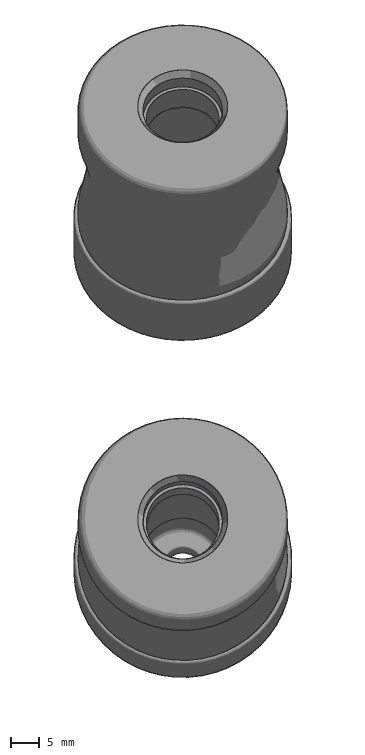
import cadquery as cq

total_height = 44.45
base_height = 12.0

base_radius = 19.045
base_bottom_fillet = 1.5
base_top_fillet = 0.5
floor_thickness = 4.0
floor_hole_radius = 3.5
floor_hole_fillet = 0.4
chamber_radius = 7.15
chamber_floor_fillet = 1.0

grip_radius = 18.3
grip_top_fillet = 1.5
collar_bottom_z = 36.7
upper_cone_top_radius = 18.22
upper_cone_top_z = 36.25
waist_top_radius = 17.65
waist_top_z = 33.85
waist_radius = 16.75
waist_z = 26.63
waist_bottom_radius = 17.15
waist_bottom_z = 21.1
lower_cone_bottom_radius = 18.22
lower_cone_bottom_z = 14.45
foot_top_z = 13.65

mouth_radius = 7.85
mouth_chamfer_depth = 1.15
counterbore_radius = 6.95
counterbore_depth = 3.75
bore_radius = 6.35
bore_end_depth = 9.0
undercut_cone_height = 1.25


def make_base():
    """Round cup with rounded outer edges, a recess and a through hole."""
    cup = cq.Workplane("XY").circle(base_radius).extrude(base_height)
    cup = cup.faces("<Z").edges().fillet(base_bottom_fillet)
    cup = cup.faces(">Z").edges().fillet(base_top_fillet)

    recess = (
        cq.Workplane("XY", origin=(0, 0, floor_thickness))
        .circle(chamber_radius)
        .extrude(base_height - floor_thickness)
        .faces("<Z").edges().fillet(chamber_floor_fillet)
    )
    hole = cq.Workplane("XY").circle(floor_hole_radius).extrude(base_height)
    cup = cup.cut(recess).cut(hole)

    floor_face = cq.selectors.NearestToPointSelector((0, 0, floor_thickness))
    hole_rim = cq.selectors.RadiusNthSelector(0)
    return cup.faces(floor_face).edges(hole_rim).fillet(floor_hole_fillet)


def make_grip():
    """Waisted sleeve revolved about Z, standing on the base."""
    undercut_top_z = total_height - bore_end_depth
    counterbore_floor_z = total_height - counterbore_depth
    sleeve = (
        cq.Workplane("XZ")
        .moveTo(chamber_radius, base_height)
        .lineTo(grip_radius, base_height)
        .lineTo(grip_radius, foot_top_z)
        .tangentArcPoint((lower_cone_bottom_radius, lower_cone_bottom_z), relative=False)
        .lineTo(waist_bottom_radius, waist_bottom_z)
        .threePointArc((waist_radius, waist_z), (waist_top_radius, waist_top_z))
        .lineTo(upper_cone_top_radius, upper_cone_top_z)
        .lineTo(grip_radius, collar_bottom_z)
        .lineTo(grip_radius, total_height)
        .lineTo(mouth_radius, total_height)
        .lineTo(counterbore_radius, total_height - mouth_chamfer_depth)
        .lineTo(counterbore_radius, counterbore_floor_z)
        .lineTo(bore_radius, counterbore_floor_z)
        .lineTo(bore_radius, undercut_top_z)
        .lineTo(chamber_radius, undercut_top_z - undercut_cone_height)
        .close()
        .revolve(360, (0, 0), (0, 1))
    )
    rim = cq.selectors.RadiusNthSelector(-1)
    return sleeve.faces(">Z").edges(rim).fillet(grip_top_fillet)


base = make_base()
grip = make_grip()

result = cq.Compound.makeCompound([base.val(), grip.val()])